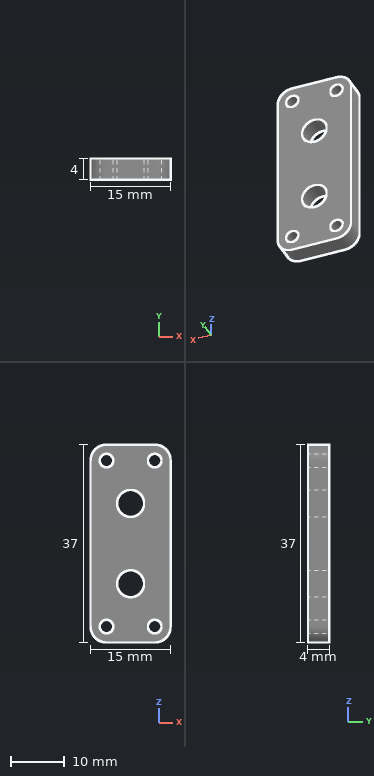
import cadquery as cq

plate_width = 15.0
plate_height = 37.0
plate_thickness = 4.0
corner_radius = 3.0

screw_hole_diameter = 2.5
screw_spacing_x = plate_width - 2 * corner_radius
screw_spacing_z = plate_height - 2 * corner_radius

main_hole_diameter = 5.0
main_hole_spacing = 15.0


def make_plate():
    """Rectangular plate with its four upright-face corners rounded."""
    plate = cq.Workplane("XY").box(plate_width, plate_thickness, plate_height)
    return plate.edges("|Y").fillet(corner_radius)


def cut_screw_holes(plate):
    """Through holes at the four corners."""
    return (
        plate.faces("<Y")
        .workplane(centerOption="CenterOfBoundBox")
        .rect(screw_spacing_x, screw_spacing_z, forConstruction=True)
        .vertices()
        .hole(screw_hole_diameter)
    )


def cut_main_holes(plate):
    """Two through holes, evenly placed above and below the plate centre."""
    return (
        plate.faces("<Y")
        .workplane(centerOption="CenterOfBoundBox")
        .pushPoints([(0, -main_hole_spacing / 2), (0, main_hole_spacing / 2)])
        .hole(main_hole_diameter)
    )


result = cut_main_holes(cut_screw_holes(make_plate()))